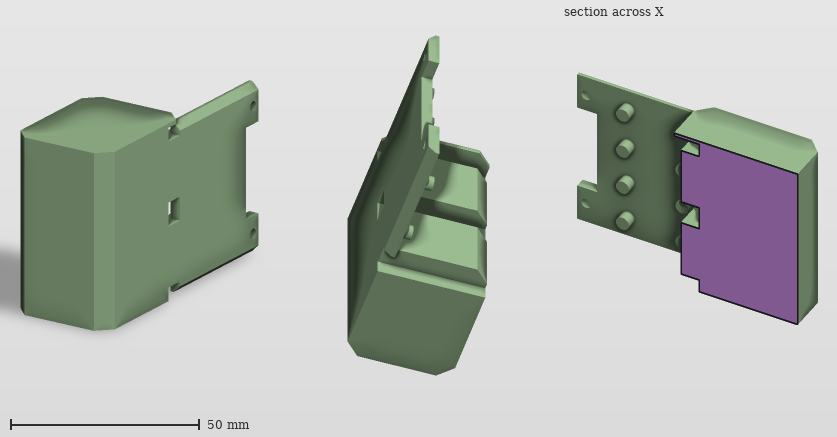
import cadquery as cq

BODY_WIDTH = 30.0
BODY_HEIGHT = 50.2
CORNER_CHAMFER = 4.0
CORE_DEPTH = 29.9
LID_DEPTH = 37.5
LID_THICKNESS = 1.2

OVERALL_DEPTH = 73.43
PLATE_LENGTH = 38.0
PLATE_HEIGHT = 48.0
PLATE_THICKNESS = 3.0
PLATE_BOTTOM = 0.5
PLATE_BEVEL = 2.0
END_NOTCH_DEPTH = 6.0
END_NOTCH_HEIGHT = 26.0

KNUCKLE_HEIGHT = 17.25
KNUCKLE_GAP = 6.75

HOLE_DIAMETER = 2.9
HOLE_END_DISTANCE = 2.75
PIN_DIAMETER = 3.9
PIN_LENGTH = 3.1
PIN_END_DISTANCES = (15.4, 33.4)
PIN_ROWS = 4
PIN_PITCH = 12.0

SIDE_X = BODY_WIDTH / 2
PLATE_INNER_X = SIDE_X - PLATE_THICKNESS
PLATE_FRONT_Y = OVERALL_DEPTH - PLATE_LENGTH
PLATE_MIDDLE_Z = PLATE_BOTTOM + PLATE_HEIGHT / 2
PLATE_TOP = PLATE_BOTTOM + PLATE_HEIGHT
ROW_HEIGHTS = [PLATE_MIDDLE_Z + (row - (PIN_ROWS - 1) / 2) * PIN_PITCH for row in range(PIN_ROWS)]


def block(depth, bottom, height):
    """Full-width block that runs back from the front face."""
    centred_in_x = (True, False, False)
    return cq.Workplane(origin=(0, 0, bottom)).box(BODY_WIDTH, depth, height, centered=centred_in_x)


def cylinder_along_x(diameter, start_x, y, z, length):
    return cq.Workplane("YZ", origin=(start_x, y, z)).circle(diameter / 2).extrude(length)


def make_body():
    """Core and overhanging lid; the lid has all four corners cut, the core only its front two."""
    core = block(CORE_DEPTH, 0, BODY_HEIGHT).edges("|Z and <Y").chamfer(CORNER_CHAMFER)
    lid = block(LID_DEPTH, BODY_HEIGHT - LID_THICKNESS, LID_THICKNESS)
    lid = lid.edges("|Z").chamfer(CORNER_CHAMFER)
    return core.union(lid)


def make_knuckle(bottom):
    """Band behind the core: cut corner on the -X side, square against the plate on the +X side."""
    band = block(PLATE_FRONT_Y, bottom, KNUCKLE_HEIGHT)
    band = band.edges("|Z and >Y and <X").chamfer(CORNER_CHAMFER)
    return band.edges("|Z and <Y").chamfer(CORNER_CHAMFER)


def make_plate():
    """Panel with bevelled top and bottom outer edges and a notch in its free end."""
    plate = (
        cq.Workplane("XZ", origin=(0, OVERALL_DEPTH, 0))
        .moveTo(PLATE_INNER_X, PLATE_BOTTOM)
        .lineTo(SIDE_X - PLATE_BEVEL, PLATE_BOTTOM)
        .lineTo(SIDE_X, PLATE_BOTTOM + PLATE_BEVEL)
        .lineTo(SIDE_X, PLATE_TOP - PLATE_BEVEL)
        .lineTo(SIDE_X - PLATE_BEVEL, PLATE_TOP)
        .lineTo(PLATE_INNER_X, PLATE_TOP)
        .close()
        .extrude(PLATE_LENGTH)
    )
    notch = cq.Workplane(
        origin=(
            PLATE_INNER_X + PLATE_THICKNESS / 2,
            OVERALL_DEPTH - END_NOTCH_DEPTH / 2,
            PLATE_MIDDLE_Z,
        )
    ).box(PLATE_THICKNESS, END_NOTCH_DEPTH, END_NOTCH_HEIGHT)
    return plate.cut(notch)


def drill_end_holes(plate):
    """Through holes level with the lowest and highest pin rows, one in each end tab."""
    y = OVERALL_DEPTH - HOLE_END_DISTANCE
    for z in (ROW_HEIGHTS[0], ROW_HEIGHTS[-1]):
        plate = plate.cut(cylinder_along_x(HOLE_DIAMETER, PLATE_INNER_X, y, z, PLATE_THICKNESS))
    return plate


def add_pins(plate):
    """Two columns of round pins on the inner face of the plate."""
    for end_distance in PIN_END_DISTANCES:
        for z in ROW_HEIGHTS:
            y = OVERALL_DEPTH - end_distance
            plate = plate.union(cylinder_along_x(PIN_DIAMETER, PLATE_INNER_X, y, z, -PIN_LENGTH))
    return plate


result = make_body()
for bottom in (PLATE_MIDDLE_Z - KNUCKLE_GAP / 2 - KNUCKLE_HEIGHT, PLATE_MIDDLE_Z + KNUCKLE_GAP / 2):
    result = result.union(make_knuckle(bottom))
result = result.union(add_pins(drill_end_holes(make_plate())))